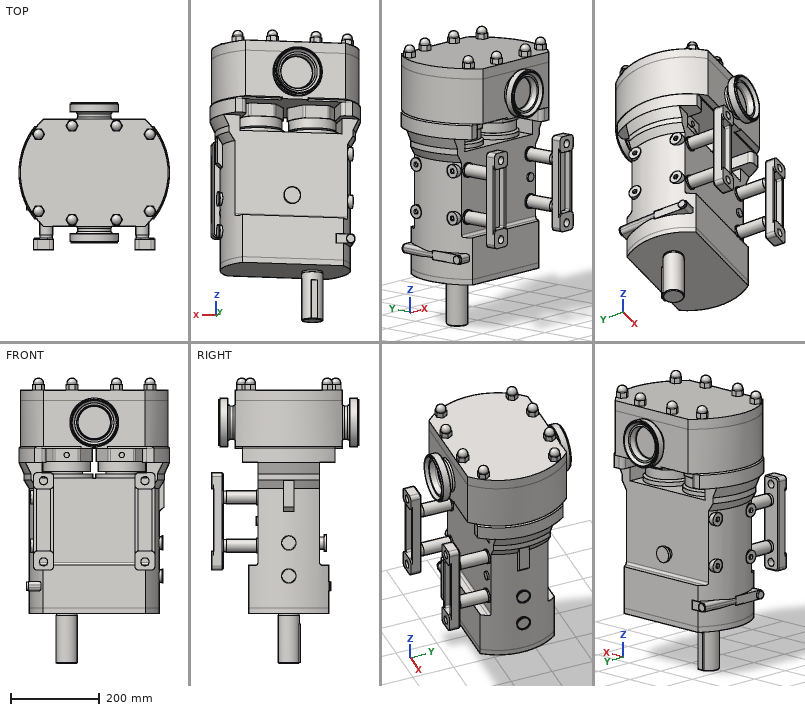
import cadquery as cq
import math


shaft_bottom = -113.0
base_plate_top = 13.0
shoulder_z = 110.0
flare_bottom = 283.7
collar_bottom = 303.5
case_top = 307.5
collar_top = 317.3
flange_bottom = 343.0
head_bottom = 374.6
flange_top = 378.6
cover_bottom = 483.4
cover_top = 507.0
nut_top = 534.37

case_radius = 147.8
case_collar_radius = 159.5
case_half_depth = 70.0
base_half_depth = 91.0
shoulder_fillet = 6.0
flange_radius = 171.0
flange_half_depth = 105.0
flange_chamfer = 3.0
bay_half_width = 118.0
flange_bay_half_width = 109.0
flange_edge_fillet = 10.0

head_radius = 167.6
head_half_depth = 121.5
head_key_half_width = 30.0

nut_positions = [(126.5, 87.3), (50.3, 106.5)]
nut_across_corners = 27.6
nut_hex_height = 12.5
nut_dome_radius = 11.7

port_z = 433.5
port_root_radius = 40.0
port_neck_radius = 38.0
port_neck_start = 126.0
port_neck_end = 133.0
port_collar_radius = 41.0
port_flange_start = 137.5
port_flange_end = 155.5
port_flange_radius = 55.5
port_flange_bevel = 1.5
port_lip_radius = 52.5
port_tip = 159.0
port_mouth_radius = 50.0
port_mouth_root_radius = 44.5
port_mouth_floor = 151.0
port_bore_mouth_radius = 40.0
port_bore_radius = 36.7
port_bore_floor = 133.0
port_bore_cone_end = 138.0

shaft_offset = 62.5
shaft_radius = 24.4
shaft_neck_radius = 23.5
shaft_neck_length = 4.0
shaft_chamfer = 2.0
key_width = 14.0
key_top = -23.0
key_reach = 27.0

seal_boss_radius = 59.5
seal_shaft_radius = 36.0
seal_disc_bottom = 322.0
seal_disc_top = 345.0
seal_disc_radius = 54.0
gland_across_corners = 118.0
gland_corner_fillet = 6.0
gland_hole_radius = 6.0
gland_hole_depth = 8.0

mount_heights = (154.3, 264.0)

plug_half_spacing = 54.0
plug_radius = 15.5
plug_tip = 144.0
plug_length = 30.0
plug_hole_radius = 5.5
plug_hole_depth = 6.0

gauge_heights = (85.4, 160.5)
gauge_radius = 16.3
gauge_cap_thickness = 2.5
gauge_neck_radius = 14.5
gauge_tip = 155.8
rib_tip = 158.5
rib_half_width = 12.0
rib_bottom = 232.0
rib_slope_height = 10.0

knob_z = 160.0
knob_radius = 19.0
knob_neck_radius = 14.0
knob_tip = 86.0
knob_cap_thickness = 6.0

face_plug_x = 109.0
face_plug_z = 210.0
face_plug_radius = 10.0
face_plug_height = 4.0

lug_z = 62.5
lug_height = 21.4
lug_rounding = 7.7
lug_face = 149.0
lug_end = 86.0
lug_root = 100.0
lug_boss_y = -75.5
lug_boss_tip = 154.0
lug_boss_radius = 9.5
lug_stub_tip = 142.5
lug_stub_end = 93.5
lug_cap_reach = 96.0
lug_cap_radius = 9.7

foot_x = 115.0
foot_width = 46.0
foot_bottom = 99.0
foot_top = 320.0
foot_back = 148.5
foot_front = 175.0
foot_corner_radius = 9.0
foot_back_chamfer = 3.0
pad_height_top = 37.0
pad_height_bottom = 43.0
pad_step = 4.3
foot_channel_width = 32.0
foot_channel_depth = 14.0
foot_channel_radius = 4.0
foot_hole_radius = 9.2
foot_hole_heights = (117.6, 301.5)
post_x = 109.0
post_radius = 15.0
post_neck_radius = 14.3
post_neck_length = 7.0
post_collar_radius = 17.0
post_collar_height = 3.5


def clipped_disc(radius, half_depth, bottom, top):
    """Round plate with its front and back cut flat."""
    slab = cq.Workplane("XY").box(3 * radius, 2 * half_depth, top - bottom, (True, True, False))
    disc = cq.Workplane("XY").circle(radius).extrude(top - bottom)
    return disc.intersect(slab).translate((0, 0, bottom))


def cylinder(start, end, radius):
    """Cylinder between two points."""
    axis = cq.Vector(*end) - cq.Vector(*start)
    return cq.Workplane(cq.Solid.makeCylinder(radius, axis.Length, cq.Vector(*start), axis))


def block(x_range, y_range, z_range):
    """Box given by its limits along each axis."""
    size = [high - low for low, high in (x_range, y_range, z_range)]
    corner = (x_range[0], y_range[0], z_range[0])
    return cq.Workplane("XY").box(*size, centered=False).translate(corner)


def make_gear_case():
    """Case with a wide base, a waisted body and a flared top."""
    base = clipped_disc(case_radius, base_half_depth, base_plate_top, shoulder_z)
    flare = (
        cq.Workplane("XZ")
        .moveTo(0, shoulder_z)
        .lineTo(case_radius, shoulder_z)
        .lineTo(case_radius, flare_bottom)
        .lineTo(case_collar_radius, collar_bottom)
        .lineTo(case_collar_radius, collar_top)
        .lineTo(flange_radius, flange_bottom)
        .lineTo(0, flange_bottom)
        .close()
        .revolve(360, (0, 0, 0), (0, 1, 0))
    )
    limits = (-flange_radius, flange_radius)
    slab = block(limits, (-case_half_depth, case_half_depth), (shoulder_z, flange_bottom))
    bay = block(
        (-bay_half_width, bay_half_width), (-case_half_depth, case_half_depth), (case_top, flange_bottom)
    )
    body = flare.intersect(slab).cut(bay)
    case = base.union(body)
    corner = 1.0
    inner_corner = cq.selectors.BoxSelector(
        (-case_radius, -case_half_depth - corner, shoulder_z - corner),
        (case_radius, case_half_depth + corner, shoulder_z + corner),
    )
    case = case.edges("|X").edges(inner_corner).fillet(shoulder_fillet)
    base_plate = clipped_disc(case_radius, base_half_depth, 0, base_plate_top)
    return case.union(base_plate, clean=False)


def make_head_flanges():
    """Two crescent flanges of the gear case that carry the pump head."""
    plate = clipped_disc(flange_radius, flange_half_depth, flange_bottom, flange_top)
    plate = plate.faces(">Z").edges("%CIRCLE").chamfer(flange_chamfer)
    opening = block(
        (-flange_bay_half_width, flange_bay_half_width),
        (-flange_half_depth, flange_half_depth),
        (flange_bottom, flange_top),
    )
    reach = flange_bay_half_width + 1.0
    inner_edges = cq.selectors.BoxSelector(
        (-reach, -flange_radius, flange_bottom), (reach, flange_radius, flange_top)
    )
    return plate.cut(opening).edges("|Z").edges(inner_edges).fillet(flange_edge_fillet)


def make_head():
    """Pump head with its cover, relieved along the lower front and back edges."""
    head = clipped_disc(head_radius, head_half_depth, head_bottom, cover_bottom)
    for side in (-1, 1):
        for face in (-1, 1):
            x_range = sorted((side * head_key_half_width, side * head_radius))
            y_range = sorted((face * flange_half_depth, face * head_half_depth))
            head = head.cut(block(x_range, y_range, (head_bottom, flange_top)))
    cover = clipped_disc(head_radius, head_half_depth, cover_bottom, cover_top)
    return head.union(cover, clean=False)


def make_cap_nut(x, y):
    hexagon = cq.Workplane("XY").polygon(6, nut_across_corners).extrude(nut_hex_height)
    dome_centre = nut_top - cover_top - nut_dome_radius
    barrel = cq.Workplane("XY").circle(nut_dome_radius).extrude(dome_centre)
    dome = cq.Workplane("XY").sphere(nut_dome_radius).translate((0, 0, dome_centre))
    return hexagon.union(barrel).union(dome).translate((x, y, cover_top))


def turned_port(profile, side):
    """Turn (distance, radius) points about a port axis; side is -1 for the front, +1 for the back."""
    points = [(radius, side * distance) for distance, radius in profile]
    turned = cq.Workplane("XY").polyline(points).close().revolve(360, (0, 0, 0), (0, 1, 0))
    return turned.translate((0, 0, port_z))


def make_port(side):
    """Waisted neck and bevelled flange with a lip at its mouth."""
    profile = [
        (head_half_depth, 0),
        (head_half_depth, port_root_radius),
        (port_neck_start, port_neck_radius),
        (port_neck_end, port_neck_radius),
        (port_flange_start, port_collar_radius),
        (port_flange_start, port_flange_radius - port_flange_bevel),
        (port_flange_start + port_flange_bevel, port_flange_radius),
        (port_flange_end, port_flange_radius),
        (port_flange_end, port_lip_radius),
        (port_tip, port_lip_radius),
        (port_tip, 0),
    ]
    return turned_port(profile, side)


def port_bore(side):
    """Flared mouth leading into a shallow blind bore."""
    profile = [
        (port_bore_floor, 0),
        (port_bore_floor, port_bore_radius),
        (port_bore_cone_end, port_bore_radius),
        (port_mouth_floor, port_bore_mouth_radius),
        (port_mouth_floor, port_mouth_root_radius),
        (port_tip, port_mouth_radius),
        (port_tip, 0),
    ]
    return turned_port(profile, side)


def make_seal(x):
    """Boss, shaft, disc and hexagonal gland around one shaft axis."""
    boss = cylinder((x, 0, case_top), (x, 0, collar_top), seal_boss_radius)
    shaft = cylinder((x, 0, collar_top), (x, 0, seal_disc_bottom), seal_shaft_radius)
    disc = cylinder((x, 0, seal_disc_bottom), (x, 0, seal_disc_top), seal_disc_radius)
    gland = cq.Workplane("XY").polygon(6, gland_across_corners).extrude(head_bottom - seal_disc_top)
    gland = gland.edges("|Z").fillet(gland_corner_fillet).translate((x, 0, seal_disc_top))
    flat = gland_across_corners / 2 * math.cos(math.pi / 6)
    hole_z = (seal_disc_top + head_bottom) / 2
    hole = cylinder((x, -flat, hole_z), (x, gland_hole_depth - flat, hole_z), gland_hole_radius)
    return boss.union(shaft).union(disc).union(gland.cut(hole))


def make_drive_shaft():
    neck = cylinder((0, 0, 0), (0, 0, -shaft_neck_length), shaft_neck_radius)
    shaft = cylinder((0, 0, -shaft_neck_length), (0, 0, shaft_bottom), shaft_radius)
    shaft = shaft.faces("<Z").chamfer(shaft_chamfer)
    key = block((-key_width / 2, key_width / 2), (0, key_reach), (shaft_bottom + shaft_chamfer, key_top))
    return neck.union(shaft).union(key).translate((-shaft_offset, 0, 0))


def make_side_plug(y, z):
    hole = cylinder((-plug_tip, y, z), (plug_hole_depth - plug_tip, y, z), plug_hole_radius)
    return cylinder((plug_length - plug_tip, y, z), (-plug_tip, y, z), plug_radius).cut(hole)


def make_gauge(z):
    """Capped fitting on the +X side."""
    cap_start = gauge_tip - gauge_cap_thickness
    neck = cylinder((case_half_depth, 0, z), (cap_start, 0, z), gauge_neck_radius)
    return neck.union(cylinder((cap_start, 0, z), (gauge_tip, 0, z), gauge_radius))


def make_side_rib():
    """Upright rib on the +X side, sloping back into the case at its foot."""
    slope_run = rib_tip - case_radius
    return (
        cq.Workplane("XZ")
        .moveTo(case_half_depth, rib_bottom)
        .lineTo(rib_tip - slope_run, rib_bottom)
        .lineTo(rib_tip, rib_bottom + rib_slope_height)
        .lineTo(rib_tip, collar_bottom)
        .lineTo(case_half_depth, collar_bottom)
        .close()
        .extrude(rib_half_width, both=True)
        .intersect(block((bay_half_width, rib_tip), (-rib_half_width, rib_half_width), (0, flange_bottom)))
    )


def make_knob():
    cap_start = knob_tip - knob_cap_thickness
    neck = cylinder((0, case_half_depth, knob_z), (0, cap_start, knob_z), knob_neck_radius)
    return neck.union(cylinder((0, cap_start, knob_z), (0, knob_tip, knob_z), knob_radius))


def make_lug(corners, rounded_side):
    """Lug with the given plan, rounded along the edges of one side."""
    lug = cq.Workplane("XY").polyline(corners).close().extrude(lug_height)
    lug = lug.faces(rounded_side).edges("not |Z").fillet(lug_rounding)
    return lug.translate((0, 0, lug_z - lug_height / 2))


def make_lugs():
    """Lug with a round boss towards -Y, and one ending in a round cap towards +Y."""
    front = make_lug([(-lug_root, 0), (-lug_face, 0), (-lug_face, -lug_end), (-lug_root, -lug_end)], "<Y")
    boss = cylinder((-lug_root, lug_boss_y, lug_z), (-lug_boss_tip, lug_boss_y, lug_z), lug_boss_radius)
    stub_plan = [
        (-lug_root, 0),
        (-lug_face, 0),
        (-lug_stub_tip, lug_stub_end),
        (-lug_root, lug_stub_end),
    ]
    stub = make_lug(stub_plan, "<X")
    cap_x = lug_cap_radius - lug_stub_tip
    cap = cylinder((cap_x, lug_stub_end, lug_z), (cap_x, lug_cap_reach, lug_z), lug_cap_radius)
    return front.union(boss).union(stub).union(cap)


def make_face_fittings():
    """Collars that the foot posts stand on, and a small plug between one pair."""
    collar_face = case_half_depth + post_collar_height
    fittings = [
        cylinder((x, -case_half_depth, z), (x, -collar_face, z), post_collar_radius)
        for x in (-post_x, post_x)
        for z in mount_heights
    ]
    plug_face = case_half_depth + face_plug_height
    plug_start = (face_plug_x, -case_half_depth, face_plug_z)
    fittings.append(cylinder(plug_start, (face_plug_x, -plug_face, face_plug_z), face_plug_radius))
    return fittings


def make_pump():
    parts = [make_head_flanges(), make_head()]
    for x, y in nut_positions:
        parts += [make_cap_nut(i * x, j * y) for i in (-1, 1) for j in (-1, 1)]
    parts += [make_port(side) for side in (-1, 1)]
    parts += [make_seal(x) for x in (-shaft_offset, shaft_offset)]
    parts += [make_side_plug(y, z) for y in (-plug_half_spacing, plug_half_spacing) for z in mount_heights]
    parts += [make_gauge(z) for z in gauge_heights]
    parts += [make_drive_shaft(), make_side_rib(), make_knob(), make_lugs()]
    parts += make_face_fittings()
    pump = make_gear_case()
    for part in parts:
        pump = pump.union(part, clean=False)
    for side in (-1, 1):
        pump = pump.cut(port_bore(side), clean=False)
    return pump


def make_foot(side):
    """Channelled bar with two raised drilled pads, carried on two posts."""
    x = side * foot_x
    x_range = (x - foot_width / 2, x + foot_width / 2)
    bar_front = foot_front - pad_step
    bar = block(x_range, (-bar_front, -foot_back), (foot_bottom, foot_top))
    bar = bar.edges("|Y").fillet(foot_corner_radius)
    bar = bar.faces(">Y").edges().chamfer(foot_back_chamfer)
    channel_z = (foot_bottom + pad_height_bottom, foot_top - pad_height_top)
    channel = block(
        (x - foot_channel_width / 2, x + foot_channel_width / 2),
        (-bar_front, foot_channel_depth - bar_front),
        channel_z,
    )
    bar = bar.cut(channel.edges("|Y").fillet(foot_channel_radius))
    for pad_z in ((foot_bottom, channel_z[0]), (channel_z[1], foot_top)):
        pad = block(x_range, (-foot_front, -bar_front), pad_z)
        bar = bar.union(pad.edges("|Y").fillet(foot_corner_radius))
    for z in foot_hole_heights:
        bar = bar.cut(cylinder((x, -foot_front, z), (x, -foot_back, z), foot_hole_radius))
    neck_start = foot_back - post_neck_length
    for z in mount_heights:
        px = side * post_x
        post_start = -case_half_depth - post_collar_height
        bar = bar.union(cylinder((px, post_start, z), (px, -neck_start, z), post_radius))
        bar = bar.union(cylinder((px, -neck_start, z), (px, -foot_back, z), post_neck_radius))
    return bar


pump = make_pump()
feet = [make_foot(side) for side in (-1, 1)]
result = cq.Compound.makeCompound([pump.val(), *[foot.val() for foot in feet]])